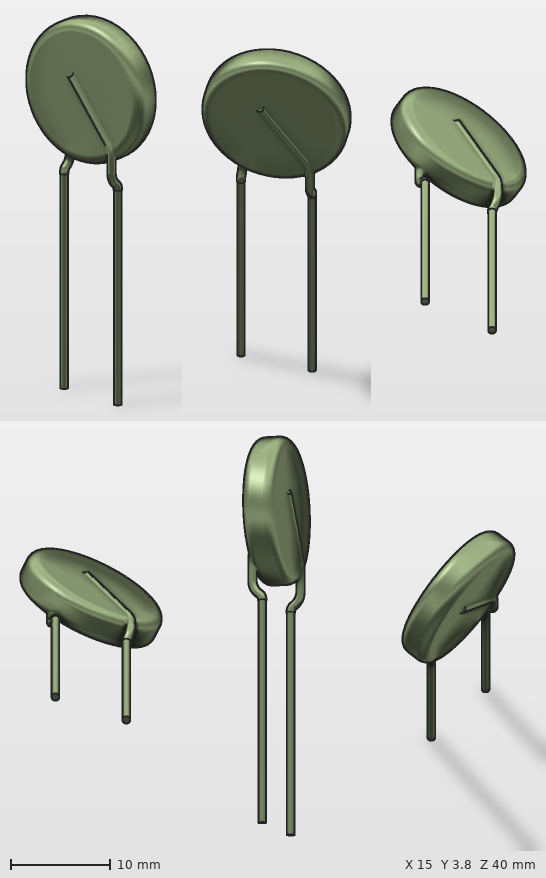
import cadquery as cq
import math

disc_diameter = 15.0
disc_thickness = 3.32
disc_edge_radius = 1.0

lead_spacing = disc_diameter / 2
coated_diameter = 0.9
bare_diameter = 0.8
total_depth = 3.8
total_height = 40.0
lead_offset = (total_depth - coated_diameter) / 2
leg_offset = coated_diameter / 2
lead_x = lead_spacing / 2

slant_angle = math.radians(37)
slant_bend_radius = 2.2
slant_bend_z = -5.8
tip_z = 1.55

s_bend_z = -7.72
upper_bend_radius = 1.65
lower_bend_radius = 0.72

coated_straight = 0.1
taper_length = 0.12
leg_bottom_z = disc_diameter / 2 - total_height

seam_fillet_radius = 0.2
seam_tolerance = 0.0005


def make_disc():
    back_face = cq.Workplane("XZ", origin=(0, disc_thickness / 2, 0))
    disc = back_face.circle(disc_diameter / 2).extrude(disc_thickness)
    return disc.edges().fillet(disc_edge_radius)


def slanted_path():
    """Axis of the lead across the front face, drawn in XZ from the S-bend up to the tip."""
    bend_centre_x = lead_x - slant_bend_radius

    def on_bend(angle):
        x = bend_centre_x + slant_bend_radius * math.cos(angle)
        return x, slant_bend_z + slant_bend_radius * math.sin(angle)

    bend_top_x, bend_top_z = on_bend(slant_angle)
    tip_x = bend_top_x - (tip_z - bend_top_z) * math.tan(slant_angle)
    return (
        cq.Workplane("XZ", origin=(0, -lead_offset, 0))
        .moveTo(lead_x, s_bend_z)
        .lineTo(lead_x, slant_bend_z)
        .threePointArc(on_bend(slant_angle / 2), (bend_top_x, bend_top_z))
        .lineTo(tip_x, tip_z)
    )


def s_bend_path():
    """Axis of the S-bend, drawn in YZ: two opposite arcs of equal angle, then a short straight.

    Returns the path and the height at which it ends.
    """
    radius_sum = upper_bend_radius + lower_bend_radius
    angle = math.acos(1 - (lead_offset - leg_offset) / radius_sum)
    end_z = s_bend_z - radius_sum * math.sin(angle)

    def on_upper(turn):
        y = -lead_offset + upper_bend_radius * (1 - math.cos(turn))
        return y, s_bend_z - upper_bend_radius * math.sin(turn)

    def on_lower(turn):
        y = -leg_offset - lower_bend_radius * (1 - math.cos(turn))
        return y, end_z + lower_bend_radius * math.sin(turn)

    coating_end_z = end_z - coated_straight
    path = (
        cq.Workplane("YZ", origin=(lead_x, 0, 0))
        .moveTo(-lead_offset, s_bend_z)
        .threePointArc(on_upper(angle / 2), on_upper(angle))
        .threePointArc(on_lower(angle / 2), (-leg_offset, end_z))
        .lineTo(-leg_offset, coating_end_z)
    )
    return path, coating_end_z


def make_lead():
    """Front lead: coated wire down to the end of the S-bend, then a short taper and a thinner bare leg."""
    s_bend, coating_end_z = s_bend_path()
    joint_plane = cq.Workplane("XY", origin=(lead_x, -lead_offset, s_bend_z))
    lower = joint_plane.circle(coated_diameter / 2).sweep(s_bend)
    upper = joint_plane.circle(coated_diameter / 2).sweep(slanted_path())
    leg = (
        cq.Workplane("XY", origin=(lead_x, -leg_offset, leg_bottom_z))
        .circle(bare_diameter / 2)
        .extrude(coating_end_z - leg_bottom_z)
    )
    taper = (
        cq.Workplane("XY", origin=(lead_x, -leg_offset, coating_end_z))
        .circle(coated_diameter / 2)
        .workplane(offset=-taper_length)
        .circle(bare_diameter / 2)
        .loft()
    )
    return upper.union(lower).union(taper).union(leg)


def distance_to(body, edge):
    """Distance from the middle of an edge to a body."""
    middle = cq.Vertex.makeVertex(*edge.positionAt(0.5).toTuple())
    return body.val().distance(middle)


def join_with_fillet(body, lead):
    """Merge a lead with the body and round the corner all along the line where they meet."""
    joined = body.union(lead)
    seam = [
        edge
        for edge in joined.edges().vals()
        if max(distance_to(body, edge), distance_to(lead, edge)) < seam_tolerance
    ]
    return joined.newObject(seam).fillet(seam_fillet_radius)


front_lead = make_lead()
back_lead = front_lead.rotate((0, 0, 0), (0, 0, 1), 180)
body_with_front_lead = join_with_fillet(make_disc(), front_lead)
result = join_with_fillet(body_with_front_lead, back_lead)